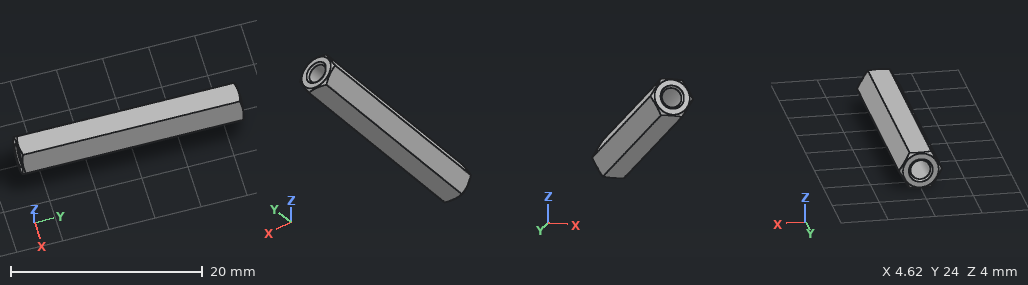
import cadquery as cq
import math

length = 24.0
across_flats = length / 6
across_corners = across_flats / math.cos(math.radians(30))

end_face_diameter = 3.8
chamfer_angle = 30.0
chamfer_depth = (across_corners - end_face_diameter) / 2 * math.tan(math.radians(chamfer_angle))

hole_diameter = 2.1
hole_depth = 7.92
drill_point_angle = 118.0
countersink_diameter = 2.55
countersink_depth = (countersink_diameter - hole_diameter) / 2


def hexagonal_bar():
    """Hexagon with flats on top and bottom, centred along Y."""
    return cq.Workplane("XZ").polygon(6, across_corners).extrude(length / 2, both=True)


def chamfer_envelope():
    """Round bar with coned ends that encloses the finished part."""
    end = length / 2
    corner_radius = across_corners / 2
    face_radius = end_face_diameter / 2
    profile = [
        (0, -end),
        (face_radius, -end),
        (corner_radius, -end + chamfer_depth),
        (corner_radius, end - chamfer_depth),
        (face_radius, end),
        (0, end),
    ]
    return cq.Workplane("XY").polyline(profile).close().revolve(360, (0, 0), (0, 1))


def drilled_hole():
    """Countersunk hole with a drill point, entering from the -Y end."""
    entry = -length / 2
    radius = hole_diameter / 2
    point_depth = radius / math.tan(math.radians(drill_point_angle / 2))
    profile = [
        (0, entry),
        (countersink_diameter / 2, entry),
        (radius, entry + countersink_depth),
        (radius, entry + hole_depth),
        (0, entry + hole_depth + point_depth),
    ]
    return cq.Workplane("XY").polyline(profile).close().revolve(360, (0, 0), (0, 1))


front_hole = drilled_hole()
result = (
    hexagonal_bar()
    .intersect(chamfer_envelope())
    .cut(front_hole)
    .cut(front_hole.mirror("XZ"))
)